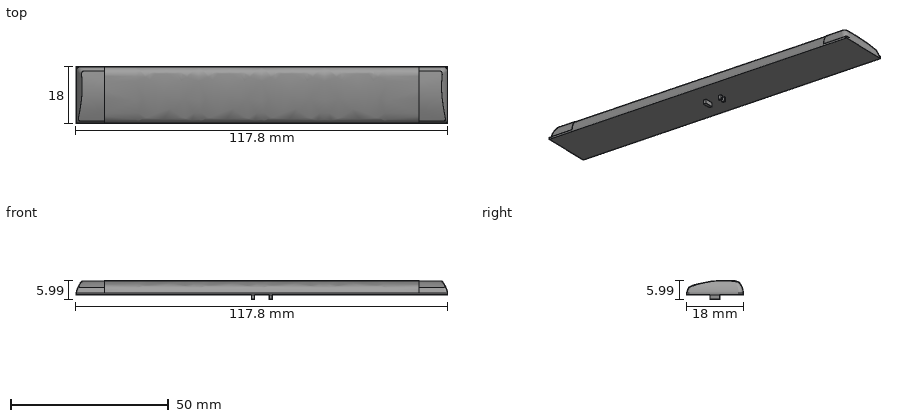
import cadquery as cq
import math

length = 117.8
width = 18.0
height = 4.6
base_height = 0.7

crown_y = 2.6
front_shoulder_inset = 0.7
front_shoulder_height = 2.5
back_shoulder_inset = 1.3
back_middle_inset = 0.4
back_middle_height = 2.5

shoulder_softening = 0.5
crown_spans = 5

cap_length = 9.1
cap_step = 0.06
end_top_inset = 2.0
end_middle_inset = 0.6
end_middle_height = 2.5
front_corner_radius = 0.8
back_corner_radius = 1.4

foot_height = 1.4
foot_spacing = 5.7
foot_thickness = 1.1
prong_width = 0.7
prong_spacing = 1.8
blade_width = 3.2

half_length = length / 2
half_width = width / 2
middle_length = length - 2 * cap_length

front_shoulder_y = front_shoulder_inset - half_width
back_shoulder_y = half_width - back_shoulder_inset
crown_drop = height - front_shoulder_height
crown_run = crown_y - front_shoulder_y
crown_radius = (crown_run**2 + crown_drop**2) / (2 * crown_drop)


def crown_point(y):
    """Point of the crown arc at a given Y."""
    z = height - crown_radius + math.sqrt(crown_radius**2 - (y - crown_y) ** 2)
    return (y, z)


def cap_bar():
    """Full-length bar with sharp shoulders, a small step below the middle cover."""
    base_y = half_width - cap_step
    front_y, front_z = crown_point(front_shoulder_y + cap_step)
    back_y, back_z = crown_point(back_shoulder_y - cap_step)
    return (
        cq.Workplane("YZ", origin=(-half_length, 0, 0))
        .moveTo(-base_y, base_height)
        .lineTo(front_y, front_z - cap_step)
        .threePointArc((crown_y, height - cap_step), (back_y, back_z - cap_step))
        .threePointArc((base_y - back_middle_inset, back_middle_height), (base_y, base_height))
        .close()
        .extrude(length)
    )


def end_wall_block():
    """Block whose two end walls curve inward from the base to the top."""
    return (
        cq.Workplane("XZ", origin=(0, half_width, 0))
        .moveTo(-half_length, base_height)
        .threePointArc(
            (end_middle_inset - half_length, end_middle_height),
            (end_top_inset - half_length, height),
        )
        .lineTo(half_length - end_top_inset, height)
        .threePointArc(
            (half_length - end_middle_inset, end_middle_height),
            (half_length, base_height),
        )
        .close()
        .extrude(width)
    )


def round_corners(cover, side, radius):
    """Round the edges rising from the base on one side (-1 front, 1 back)."""

    def is_corner(edge):
        box = edge.BoundingBox()
        rises = box.zmin < front_shoulder_height and box.zlen > base_height / 2
        slim = box.ylen < 2 * back_shoulder_inset
        return rises and slim and side * edge.Center().y > 0

    corners = [edge for edge in cover.edges().vals() if is_corner(edge)]
    return cover.newObject(corners).fillet(radius)


def end_caps():
    """Both caps, with the corners between their end and side walls rounded."""
    cover = cap_bar().intersect(end_wall_block())
    cover = round_corners(cover, -1, front_corner_radius)
    cover = round_corners(cover, 1, back_corner_radius)
    return cover.cut(cq.Workplane("XY").box(middle_length, 2 * width, 4 * height))


def middle_cover():
    """Cover between the caps: one smooth curve up, over the crown and down."""
    wall_height = front_shoulder_height - base_height
    wall_rise = wall_height - shoulder_softening
    wall_lean = front_shoulder_inset * wall_rise / wall_height
    front_wall = [
        (wall_lean / 2 - half_width, base_height + wall_rise / 2),
        (wall_lean - half_width, base_height + wall_rise),
    ]

    crown_start = front_shoulder_y + shoulder_softening
    crown_end = back_shoulder_y - shoulder_softening
    span = (crown_end - crown_start) / crown_spans
    crown = [crown_point(crown_start + i * span) for i in range(crown_spans + 1)]

    back_wall = [
        (half_width - back_middle_inset, back_middle_height),
        (half_width, base_height),
    ]
    return (
        cq.Workplane("YZ", origin=(-middle_length / 2, 0, 0))
        .moveTo(-half_width, base_height)
        .spline(front_wall + crown + back_wall, includeCurrent=True)
        .close()
        .extrude(middle_length)
    )


def foot(x, y, foot_width):
    """One straight foot, rooted in the base and hanging below it."""
    return (
        cq.Workplane("XY", origin=(x, y, -foot_height))
        .rect(foot_thickness, foot_width)
        .extrude(foot_height + base_height)
    )


base = cq.Workplane("XY").box(length, width, base_height, centered=(True, True, False))
result = base.union(end_caps()).union(middle_cover())
for prong_y in (-prong_spacing / 2, prong_spacing / 2):
    result = result.union(foot(-foot_spacing / 2, prong_y, prong_width))
result = result.union(foot(foot_spacing / 2, 0, blade_width))